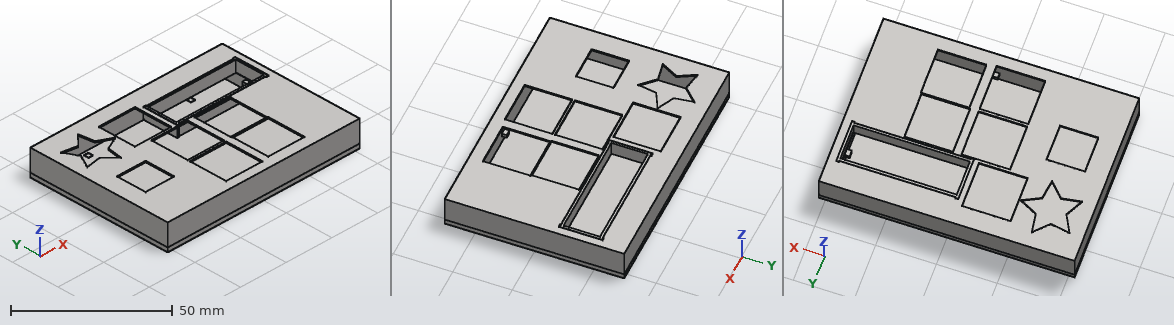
import cadquery as cq
import math

length = 84.1
width = 60.4
height = 11.3

base_thickness = 1.85
tray_rise = 0.2
housing_top = height - tray_rise
wall = 3.5
lid_thickness = 0.6
lid_underside = housing_top - lid_thickness

large_window = 16.0
large_window_corners = [(23.4, 37.85), (29.5, 20.85), (29.5, 3.95), (48.3, 20.85), (48.6, 4.6)]
small_window = 12.6
small_window_corner = (7.4, 17.15)

star_center = (12.8, 45.8)
star_tips = 5
star_tip_radius = 10.0
star_notch_radius = star_tip_radius / 2

tray_x = 41.2
tray_y = 37.2
tray_length = 40.1
tray_width = 14.8
tray_wall = 0.9
tray_ear = 0.3
tray_depth = 4.9
tray_bottom = height - tray_depth

tab_width = 2.2
tab_reach = 1.7
tab_height = 1.3
tab_top = 5.8
right_tab_y = 45.3
front_tab_x = 45.75

pad_length = 1.9
pad_width = 2.0
pad_height = 0.2
pad_spacing = 44.8
pad_y = 54.5


def box(x, y, z, size_x, size_y, size_z):
    """Box placed by its lowest corner."""
    return cq.Workplane("XY").box(size_x, size_y, size_z, centered=False).translate((x, y, z))


def make_base():
    base = box(0, 0, 0, length, width, base_thickness)
    for side in (-1, 1):
        pad_x = length / 2 + side * pad_spacing / 2
        pad = box(
            pad_x - pad_length / 2, pad_y - pad_width / 2, base_thickness, pad_length, pad_width, pad_height
        )
        base = base.union(pad)
    return base


def make_tray_block():
    """Solid outline of the tray, also the shape of its opening in the housing."""
    block = box(tray_x, tray_y + tray_ear, tray_bottom, tray_length, tray_width - 2 * tray_ear, tray_depth)
    for end_x in (tray_x, tray_x + tray_length - tray_wall):
        block = block.union(box(end_x, tray_y, tray_bottom, tray_wall, tray_width, tray_depth))
    return block


def make_tray():
    inset = tray_ear + tray_wall
    opening = box(
        tray_x + tray_wall,
        tray_y + inset,
        tray_bottom,
        tray_length - 2 * tray_wall,
        tray_width - 2 * inset,
        tray_depth,
    )
    return make_tray_block().cut(opening)


def make_square_window(corner, size):
    return box(*corner, lid_underside, size, size, lid_thickness)


def make_star_window():
    points = []
    for i in range(2 * star_tips):
        radius = star_tip_radius if i % 2 == 0 else star_notch_radius
        angle = math.pi * i / star_tips
        points.append((radius * math.cos(angle), radius * math.sin(angle)))
    star = cq.Workplane("XY").polyline(points).close().extrude(lid_thickness)
    return star.translate((*star_center, lid_underside))


def make_tabs():
    tab_bottom = tab_top - tab_height
    right_tab = box(
        length - wall - tab_reach, right_tab_y - tab_width / 2, tab_bottom, tab_reach, tab_width, tab_height
    )
    front_tab = box(front_tab_x - tab_width / 2, wall, tab_bottom, tab_width, tab_reach, tab_height)
    return right_tab, front_tab


def make_housing():
    housing = box(0, 0, base_thickness, length, width, housing_top - base_thickness)
    cavity = box(
        wall, wall, base_thickness, length - 2 * wall, width - 2 * wall, lid_underside - base_thickness
    )
    housing = housing.cut(cavity)
    for corner in large_window_corners:
        housing = housing.cut(make_square_window(corner, large_window))
    housing = housing.cut(make_square_window(small_window_corner, small_window))
    housing = housing.cut(make_star_window())
    for tab in make_tabs():
        housing = housing.union(tab)
    return housing.cut(make_tray_block())


base = make_base()
housing = make_housing()
tray = make_tray()

result = cq.Compound.makeCompound([base.val(), housing.val(), tray.val()])